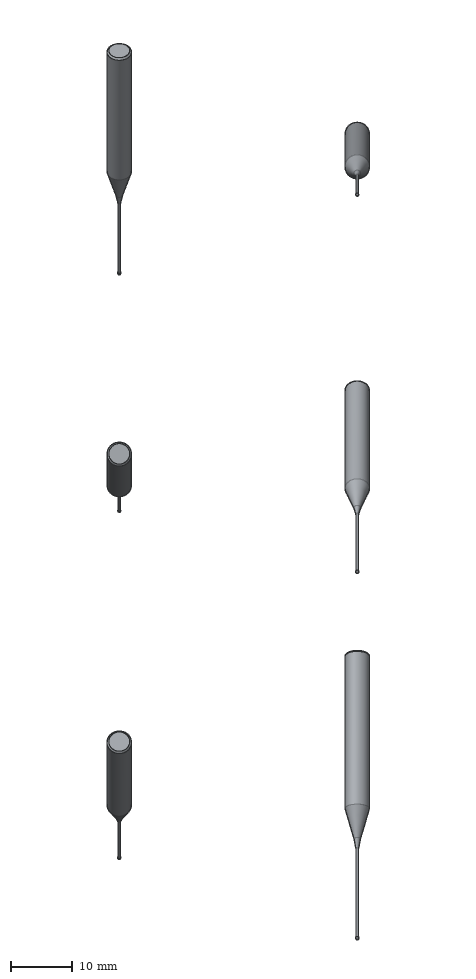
import cadquery as cq
import math


total_length = 50.0
shank_bottom = 23.0
main_taper_bottom = 17.7
neck_top = 16.0
head_length = 0.5

shank_diameter = 4.0
collar_diameter = 1.1
neck_diameter = 0.48
head_diameter = 0.5

shank_chamfer = 0.3

shank_radius = shank_diameter / 2
collar_radius = collar_diameter / 2
neck_radius = neck_diameter / 2
ball_radius = head_diameter / 2


def revolve_about_z(profile):
    """Turn a closed YZ profile (local x = Y, local y = Z) a full circle about Z."""
    return profile.close().revolve(360, (0, 0), (0, 1))


def make_holder():
    """Chamfered shank, two tapers and the thin neck, down to the cutting head."""
    profile = (
        cq.Workplane("YZ")
        .moveTo(0, head_length)
        .lineTo(-neck_radius, head_length)
        .lineTo(-neck_radius, neck_top)
        .lineTo(-collar_radius, main_taper_bottom)
        .lineTo(-shank_radius, shank_bottom)
        .lineTo(-shank_radius, total_length - shank_chamfer)
        .lineTo(-shank_radius + shank_chamfer, total_length)
        .lineTo(0, total_length)
    )
    return revolve_about_z(profile)


def make_cutting_head():
    """Short cylinder with a hemispherical nose."""
    arc_offset = ball_radius * math.sqrt(0.5)
    profile = (
        cq.Workplane("YZ")
        .moveTo(0, head_length)
        .lineTo(-ball_radius, head_length)
        .lineTo(-ball_radius, ball_radius)
        .threePointArc((-arc_offset, ball_radius - arc_offset), (0, 0))
    )
    return revolve_about_z(profile)


holder = make_holder()
cutting_head = make_cutting_head()

result = cq.Compound.makeCompound([holder.val(), cutting_head.val()])